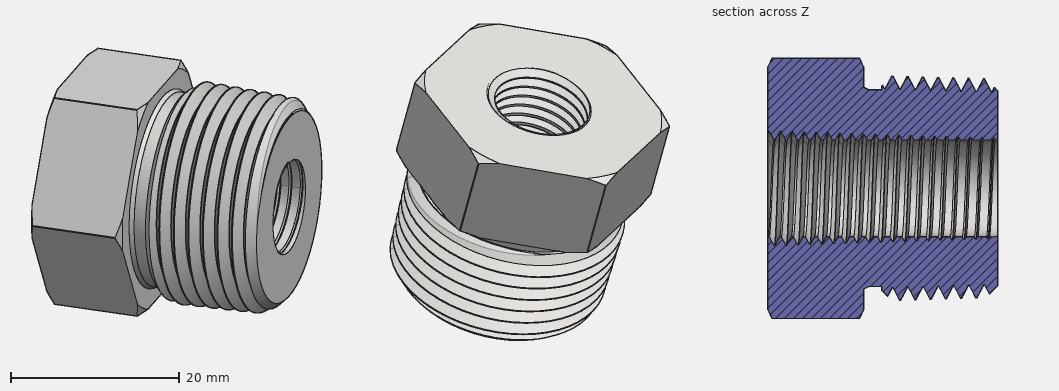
import cadquery as cq
import math

head_length = 11.47
across_corners = 31.0
across_flats = 26.9
chamfer_face_radius = 14.45
chamfer_depth = 0.53

total_length = 27.4
neck_radius = 11.75
neck_flare = 0.28
neck_flare_length = 0.53
thread_start = 13.58

taper_angle = math.atan(1 / 32)
outer_pitch = 12.7 / 7
outer_crest_radius = 13.42
outer_depth = 1.55
outer_start_radius = 12.15
outer_end_radius = 11.6
outer_crest_x = 15.3

bore_radius = 5.75
inner_pitch = 14.1 / 10
inner_root_radius = 6.82
inner_depth = 1.1
inner_root_direction = 30.0

flat_width = 0.05
crest_width = 0.1
overshoot = 0.03


def revolve_about_x(points):
    """Solid of revolution about X from (x, radius) points."""
    return cq.Workplane("XY").polyline(points).close().revolve(360, (0, 0, 0), (1, 0, 0))


def helical_groove(start_x, turns, pitch, radii, half_widths):
    """Right-handed cutter along +X that narrows with the pipe taper.

    Its profile starts in the XY half plane Y > 0; radii and half_widths hold the
    inner and outer edges of the profile there.
    """
    inner, outer = radii
    inner_half, outer_half = half_widths
    corners = [(inner, -inner_half), (outer, -outer_half), (outer, outer_half), (inner, inner_half)]
    slant_pitch = pitch / math.cos(taper_angle)

    def corner_helices(turn):
        return [
            cq.Wire.makeHelix(
                slant_pitch,
                slant_pitch,
                radius - turn * pitch * math.tan(taper_angle),
                cq.Vector(0, 0, offset + turn * pitch),
                cq.Vector(0, 0, 1),
                -math.degrees(taper_angle),
            ).Edges()[0]
            for radius, offset in corners
        ]

    def cap(points):
        return cq.Face.makeFromWires(cq.Wire.makePolygon(points, close=True))

    helices = [corner_helices(turn) for turn in range(turns)]
    faces = [
        cq.Face.makeRuledSurface(edges[side - 1], edges[side])
        for edges in helices
        for side in range(len(corners))
    ]
    faces.append(cap([edge.startPoint() for edge in helices[0]]))
    faces.append(cap([edge.endPoint() for edge in helices[-1]]))
    groove = cq.Solid.makeSolid(cq.Shell.makeShell(faces)).fix()
    return cq.Workplane(obj=groove).rotate((0, 0, 0), (1, 1, 1), 120).translate((start_x, 0, 0))


def make_head():
    hexagon = cq.Workplane("YZ").polygon(6, across_flats / math.cos(math.pi / 6)).extrude(head_length)
    corner_radius = across_corners / 2
    envelope = revolve_about_x([
        (0, 0),
        (0, chamfer_face_radius),
        (chamfer_depth, corner_radius),
        (head_length - chamfer_depth, corner_radius),
        (head_length, chamfer_face_radius),
        (head_length, 0),
    ])
    return hexagon.intersect(envelope)


def make_neck():
    flare_end = head_length + neck_flare_length
    return revolve_about_x([
        (head_length, 0),
        (head_length, neck_radius + neck_flare),
        (flare_end, neck_radius),
        (thread_start, neck_radius),
        (thread_start, 0),
    ])


def make_outer_thread():
    slope = math.tan(taper_angle)
    start_rise = (outer_crest_radius - outer_start_radius) / (1 + slope)
    end_crest = outer_crest_radius - slope * (total_length - thread_start)
    end_rise = (end_crest - outer_end_radius) / (1 - slope)
    blank = revolve_about_x([
        (thread_start, 0),
        (thread_start, outer_start_radius),
        (thread_start + start_rise, outer_start_radius + start_rise),
        (total_length - end_rise, outer_end_radius + end_rise),
        (total_length, outer_end_radius),
        (total_length, 0),
    ])
    groove_start = outer_crest_x - 2.75 * outer_pitch
    turns = math.ceil((total_length - groove_start) / outer_pitch) + 1
    start_offset = slope * (thread_start - groove_start)
    root = outer_crest_radius - outer_depth + start_offset
    groove = helical_groove(
        groove_start,
        turns,
        outer_pitch,
        (root, root + outer_depth + overshoot),
        (flat_width / 2, (outer_pitch - crest_width) / 2),
    )
    return blank.cut(groove)


def make_inner_groove():
    groove_start = -2 * inner_pitch
    turns = math.ceil((total_length - groove_start) / inner_pitch) + 1
    root = inner_root_radius - math.tan(taper_angle) * groove_start
    groove = helical_groove(
        groove_start,
        turns,
        inner_pitch,
        (root - inner_depth - overshoot, root),
        ((inner_pitch - crest_width) / 2, flat_width / 2),
    )
    return groove.rotate((0, 0, 0), (1, 0, 0), -inner_root_direction)


bore = cq.Workplane("YZ").circle(bore_radius).extrude(total_length)
bushing = make_head().union(make_neck()).union(make_outer_thread())
result = bushing.cut(bore).cut(make_inner_groove())